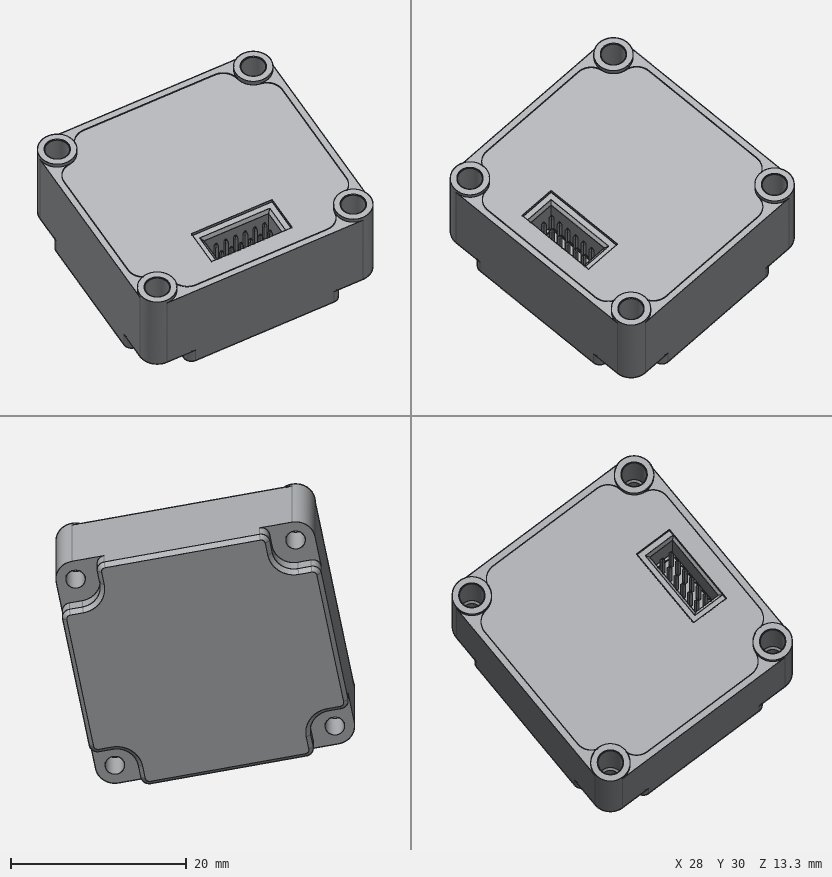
import cadquery as cq
import math

LENGTH_X = 28.0
LENGTH_Y = 30.0
HEIGHT = 13.3

BOSS_RADIUS = 2.25
BOSS_HEIGHT = 0.5
BODY_HEIGHT = HEIGHT - BOSS_HEIGHT
BOSS_X = LENGTH_X / 2 - BOSS_RADIUS
BOSS_Y = LENGTH_Y / 2 - BOSS_RADIUS

BORE_RADIUS = 1.4
BORE_DEPTH = 6.0
BORE_TIP_ANGLE = 118.0
BORE_CHAMFER = 0.1
THROUGH_RADIUS = 1.1

NOTCH_SIDE = 5.0
NOTCH_HEIGHT = 2.35
NOTCH_INNER_RADIUS = 2.5
NOTCH_OUTER_RADIUS = 1.0
BASE_CHAMFER = 0.5

RIM_WIDTH = 0.8
RECESS_DEPTH = 0.12
RECESS_FILLET = 2.0
PANEL_Z = BODY_HEIGHT - RECESS_DEPTH

CONNECTOR_X = 8.95
WINDOW_WIDTH = 4.75
WINDOW_LENGTH = 10.5
WINDOW_DEPTH = 0.4
HOUSING_Z = PANEL_Z - WINDOW_DEPTH

CAVITY_WIDTH = 3.3
CAVITY_LENGTH = 8.4
CAVITY_DEPTH = 4.8
MOUTH_CHAMFER = 0.35
CAVITY_FLOOR_Z = HOUSING_Z - CAVITY_DEPTH
MOUTH_EDGE_X = CONNECTOR_X + CAVITY_WIDTH / 2 + MOUTH_CHAMFER

STEP_DEPTH = 0.3
STEP_LEDGE = 0.33
STEP_WIDE_LEDGE = 0.12
STEP_CORNER_CHAMFER = 0.18
PIN_BASE_Z = CAVITY_FLOOR_Z - STEP_DEPTH

PIN_COLUMNS = 2
PIN_ROWS = 6
PIN_PITCH = 1.25
PIN_WIDTH = 0.4
PIN_HEIGHT = 4.7
PIN_TIP_HEIGHT = 0.45
PIN_TIP_INSET = 0.12


def box(width, length, bottom, top, x=0, y=0):
    """Upright block centred at (x, y) between two heights."""
    return (
        cq.Workplane("XY", origin=(x, y, bottom))
        .rect(width, length)
        .extrude(top - bottom)
    )


def pin_offsets(count):
    """Distances of evenly pitched pins from the connector centre."""
    return [(i - (count - 1) / 2) * PIN_PITCH for i in range(count)]


def cylinders(radius, bottom, top):
    """One upright cylinder on each of the four boss centres."""
    return (
        cq.Workplane("XY", origin=(0, 0, bottom))
        .rect(2 * BOSS_X, 2 * BOSS_Y, forConstruction=True)
        .vertices()
        .circle(radius)
        .extrude(top - bottom)
    )


def make_block():
    """Block with rounded corners formed by the four boss columns that rise above its top."""
    across_x = box(LENGTH_X, 2 * BOSS_Y, 0, BODY_HEIGHT)
    across_y = box(2 * BOSS_X, LENGTH_Y, 0, BODY_HEIGHT)
    return across_x.union(across_y).union(cylinders(BOSS_RADIUS, 0, HEIGHT))


def make_base():
    """Cross-shaped foot left between the corner notches, chamfered all round below."""
    along_x = box(LENGTH_X, LENGTH_Y - 2 * NOTCH_SIDE, 0, NOTCH_HEIGHT)
    along_y = box(LENGTH_X - 2 * NOTCH_SIDE, LENGTH_Y, 0, NOTCH_HEIGHT)
    outer_sides = "<X or >X or <Y or >Y"
    base = along_x.union(along_y)
    base = base.edges("|Z").edges(f"not ({outer_sides})").fillet(NOTCH_INNER_RADIUS)
    base = base.edges("|Z").edges(outer_sides).fillet(NOTCH_OUTER_RADIUS)
    return base.faces("<Z").edges().chamfer(BASE_CHAMFER)


def make_panel_recess():
    """Shallow recess that curves inwards round each boss."""
    recess = box(LENGTH_X - 2 * RIM_WIDTH, LENGTH_Y - 2 * RIM_WIDTH, PANEL_Z, BODY_HEIGHT)
    recess = recess.cut(cylinders(BOSS_RADIUS, PANEL_Z, BODY_HEIGHT))
    return recess.edges("|Z").fillet(RECESS_FILLET)


def make_screw_bore():
    """Solid that fills one screw hole, turned about the Z axis."""
    tip_depth = (BORE_RADIUS - THROUGH_RADIUS) / math.tan(math.radians(BORE_TIP_ANGLE / 2))
    bore_bottom = HEIGHT - BORE_DEPTH
    return (
        cq.Workplane("XZ")
        .moveTo(0, 0)
        .lineTo(THROUGH_RADIUS, 0)
        .lineTo(THROUGH_RADIUS, bore_bottom - tip_depth)
        .lineTo(BORE_RADIUS, bore_bottom)
        .lineTo(BORE_RADIUS, HEIGHT - BORE_CHAMFER)
        .lineTo(BORE_RADIUS + BORE_CHAMFER, HEIGHT)
        .lineTo(0, HEIGHT)
        .close()
        .revolve(360, (0, 0, 0), (0, 1, 0))
    )


def make_connector_opening():
    """Window, chamfered mouth, cavity and the stepped pocket in the cavity floor."""
    window_x = MOUTH_EDGE_X - WINDOW_WIDTH / 2
    window = box(WINDOW_WIDTH, WINDOW_LENGTH, HOUSING_Z, BODY_HEIGHT, window_x)
    mouth = (
        cq.Workplane("XY", origin=(CONNECTOR_X, 0, HOUSING_Z - MOUTH_CHAMFER))
        .rect(CAVITY_WIDTH, CAVITY_LENGTH)
        .workplane(offset=MOUTH_CHAMFER)
        .rect(CAVITY_WIDTH + 2 * MOUTH_CHAMFER, CAVITY_LENGTH + 2 * MOUTH_CHAMFER)
        .loft(ruled=True)
    )
    cavity = box(CAVITY_WIDTH, CAVITY_LENGTH, CAVITY_FLOOR_Z, HOUSING_Z, CONNECTOR_X)
    opening = window.union(mouth).union(cavity)

    step = box(
        CAVITY_WIDTH - 2 * STEP_LEDGE,
        CAVITY_LENGTH - 2 * STEP_LEDGE,
        PIN_BASE_Z,
        CAVITY_FLOOR_Z,
        CONNECTOR_X,
    )
    wide_width = CAVITY_WIDTH - 2 * STEP_WIDE_LEDGE
    for row_y in pin_offsets(PIN_ROWS):
        bay = box(wide_width, PIN_PITCH, PIN_BASE_Z, CAVITY_FLOOR_Z, CONNECTOR_X, row_y)
        step = step.union(bay.edges("|Z").chamfer(STEP_CORNER_CHAMFER))
    return opening.union(step)


def make_pin():
    """Square pin with a tapered tip, standing at the origin."""
    pin = box(PIN_WIDTH, PIN_WIDTH, PIN_BASE_Z, PIN_BASE_Z + PIN_HEIGHT)
    return pin.faces(">Z").chamfer(PIN_TIP_HEIGHT, PIN_TIP_INSET)


bottom_layer = box(LENGTH_X, LENGTH_Y, 0, NOTCH_HEIGHT)
result = make_block().cut(bottom_layer.cut(make_base()))
result = result.cut(make_panel_recess())

screw_bore = make_screw_bore()
for side_x in (-1, 1):
    for side_y in (-1, 1):
        result = result.cut(screw_bore.translate((side_x * BOSS_X, side_y * BOSS_Y, 0)))

result = result.cut(make_connector_opening())

pin = make_pin()
for column_x in pin_offsets(PIN_COLUMNS):
    for row_y in pin_offsets(PIN_ROWS):
        result = result.union(pin.translate((CONNECTOR_X + column_x, row_y, 0)))